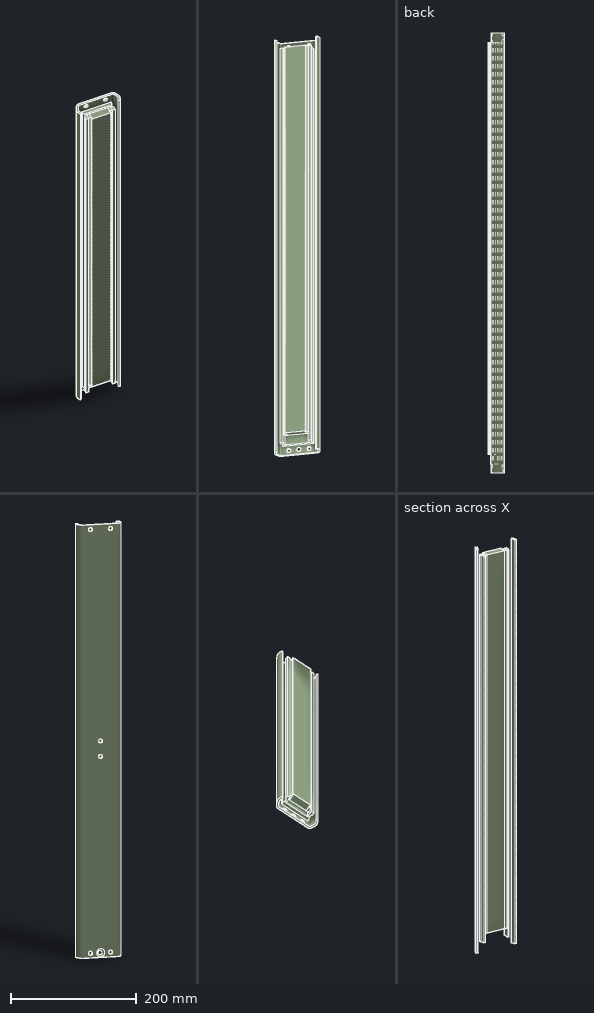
import cadquery as cq
import math

LENGTH = 700.0
DEPTH = 26.0
WIDTH = 75.0

RAIL_THICKNESS = 3.5
RAIL_DEPTH = 21.0
SHOULDER_BEND_RADIUS = 6.0
SHOULDER_ANGLE = math.radians(27)
LIP_RADIUS = 12.0
LIP_CENTRE_X = DEPTH / 2

HOLE_DIAMETER = 6.0
END_HOLE_INSET = 8.0
END_HOLE_SPACING = 33.5
MIDDLE_HOLE_SPACING = 25.0
COUNTERSINK_DIAMETER = 13.0
COUNTERSINK_ANGLE = 90

TOP_SETBACK = 15.5
CHANNEL_BOTTOM = 15.0
CHANNEL_BACK_X = 5.5
CHANNEL_FRONT_X = 22.5
CHANNEL_WIDTH = 51.0
WEB_THICKNESS = 5.5
ARM_THICKNESS = 5.0
GROOVE_WIDTH = 8.5
GROOVE_DEPTH = 2.0

SLIDE_BOTTOM = 29.5
SLIDE_BACK_X = 14.0
BAR_WIDTH = 32.0
CAP_WIDTH = 34.0
CAP_THICKNESS = 2.0

STRIP_BACK_X = SLIDE_BACK_X
STRIP_FRONT_X = 22.0

TOP = LENGTH - TOP_SETBACK


def box(x_range, y_range, z_range):
    """A box given by its lower and upper limits along each axis."""
    sizes = [high - low for low, high in (x_range, y_range, z_range)]
    corner = (x_range[0], y_range[0], z_range[0])
    return cq.Workplane("XY").box(*sizes, centered=False).translate(corner)


def polar(centre, radius, angle):
    """The point on a circle at an angle measured from +X towards +Y."""
    return (centre[0] + radius * math.cos(angle), centre[1] + radius * math.sin(angle))


def rail_half():
    """The +Y half of the rail, its web ending on the plane Y = 0."""
    lip_centre = (LIP_CENTRE_X, WIDTH / 2 - LIP_RADIUS)
    normal = math.pi / 2 + SHOULDER_ANGLE
    lip_start = polar(lip_centre, LIP_RADIUS, normal)
    corner_y = lip_start[1] - lip_start[0] * math.tan(SHOULDER_ANGLE)
    bend_setback = SHOULDER_BEND_RADIUS * math.tan((math.pi / 2 - SHOULDER_ANGLE) / 2)
    bend_centre = (SHOULDER_BEND_RADIUS, corner_y - bend_setback)

    bend_middle = (math.pi + normal) / 2
    lip_end = math.acos((RAIL_DEPTH - LIP_CENTRE_X) / LIP_RADIUS)
    lip_middle = (normal + lip_end) / 2

    bend_outer = SHOULDER_BEND_RADIUS
    bend_inner = bend_outer - RAIL_THICKNESS
    lip_outer = LIP_RADIUS
    lip_inner = lip_outer - RAIL_THICKNESS
    return (
        cq.Workplane("XY")
        .moveTo(0, 0)
        .lineTo(*polar(bend_centre, bend_outer, math.pi))
        .threePointArc(polar(bend_centre, bend_outer, bend_middle), polar(bend_centre, bend_outer, normal))
        .lineTo(*lip_start)
        .threePointArc(polar(lip_centre, lip_outer, lip_middle), polar(lip_centre, lip_outer, lip_end))
        .lineTo(*polar(lip_centre, lip_inner, lip_end))
        .threePointArc(polar(lip_centre, lip_inner, lip_middle), polar(lip_centre, lip_inner, normal))
        .lineTo(*polar(bend_centre, bend_inner, normal))
        .threePointArc(polar(bend_centre, bend_inner, bend_middle), polar(bend_centre, bend_inner, math.pi))
        .lineTo(RAIL_THICKNESS, 0)
        .close()
        .extrude(LENGTH)
    )


def web_plane():
    """Plane on the back of the rail: local x is Y, local y is Z, and holes are cut towards +X."""
    return cq.Workplane(cq.Plane(origin=(0, 0, 0), xDir=(0, 1, 0), normal=(1, 0, 0)))


def make_rail():
    half = rail_half()
    rail = half.union(half.mirror("XZ"))

    end_heights = (END_HOLE_INSET, LENGTH - END_HOLE_INSET)
    holes = [(side * END_HOLE_SPACING / 2, z) for side in (-1, 1) for z in end_heights]
    holes += [(0, LENGTH / 2), (0, LENGTH / 2 - MIDDLE_HOLE_SPACING), (0, END_HOLE_INSET)]
    rail = rail.cut(web_plane().pushPoints(holes).circle(HOLE_DIAMETER / 2).extrude(RAIL_THICKNESS))

    sink_depth = COUNTERSINK_DIAMETER / 2 / math.tan(math.radians(COUNTERSINK_ANGLE / 2))
    sink = cq.Solid.makeCone(
        COUNTERSINK_DIAMETER / 2, 0, sink_depth,
        pnt=cq.Vector(0, 0, END_HOLE_INSET), dir=cq.Vector(1, 0, 0),
    )
    return rail.cut(cq.Workplane(sink))


def make_channel():
    half_width = CHANNEL_WIDTH / 2
    heights = (CHANNEL_BOTTOM, TOP)
    channel = box((CHANNEL_BACK_X, CHANNEL_FRONT_X), (-half_width, half_width), heights)

    arm_inside = half_width - ARM_THICKNESS
    web_front_x = CHANNEL_BACK_X + WEB_THICKNESS
    channel = channel.cut(box((web_front_x, CHANNEL_FRONT_X), (-arm_inside, arm_inside), heights))

    for side in (-1, 1):
        groove = (
            cq.Workplane("XY")
            .workplane(offset=CHANNEL_BOTTOM)
            .moveTo(LIP_CENTRE_X - GROOVE_WIDTH / 2, side * half_width)
            .threePointArc(
                (LIP_CENTRE_X, side * (half_width - GROOVE_DEPTH)),
                (LIP_CENTRE_X + GROOVE_WIDTH / 2, side * half_width),
            )
            .close()
            .extrude(TOP - CHANNEL_BOTTOM)
        )
        channel = channel.cut(groove)
    return channel


def make_slide():
    heights = (SLIDE_BOTTOM, TOP)
    bar = box((SLIDE_BACK_X, DEPTH), (-BAR_WIDTH / 2, BAR_WIDTH / 2), heights)
    cap = box((DEPTH - CAP_THICKNESS, DEPTH), (-CAP_WIDTH / 2, CAP_WIDTH / 2), heights)
    return bar.union(cap)


def make_strip(side):
    """The bearing strip on the +Y side (side = 1) or the -Y side (side = -1)."""
    arm_face = CHANNEL_WIDTH / 2 - ARM_THICKNESS
    bar_face = BAR_WIDTH / 2
    y_range = sorted((side * arm_face, side * bar_face))
    return box((STRIP_BACK_X, STRIP_FRONT_X), y_range, (SLIDE_BOTTOM, TOP))


rail = make_rail()
channel = make_channel()
slide = make_slide()
strips = [make_strip(side) for side in (-1, 1)]

result = cq.Compound.makeCompound(
    [rail.val(), channel.val(), slide.val(), *[strip.val() for strip in strips]]
)